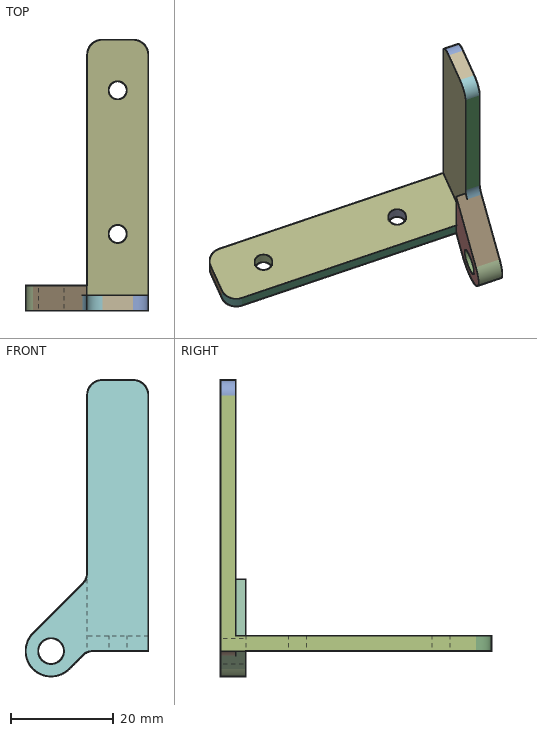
import cadquery as cq
import math

eye_radius = 5.0
pivot_hole_diameter = 5.0
lever_thickness = 5.0

plate_thickness = 3.0
plate_left = 7.0
plate_width = 12.0
plate_length = 53.0
corner_radius = 3.0

screw_hole_diameter = 3.5
screw_hole_positions = (15.0, 43.1)

plate_right = plate_left + plate_width
plate_center = plate_left + plate_width / 2

tangent_offset = eye_radius * math.sin(math.radians(45))
edge_shift = eye_radius * math.sqrt(2)
lever_top = plate_left + edge_shift
lever_foot = edge_shift

margin = 0.6


def extrude_back(profile, depth):
    """Extrude an XZ profile from the front face towards +Y."""
    return profile.close().extrude(-depth)


def eye_start():
    """Start an outline with the round eye, ending at its upper tangent point."""
    return (
        cq.Workplane("XZ")
        .moveTo(tangent_offset, -tangent_offset)
        .threePointArc((-tangent_offset, -tangent_offset), (-tangent_offset, tangent_offset))
    )


def front_plate():
    """Upright plate with the angled lever arm, full outline."""
    outline = (
        eye_start()
        .lineTo(plate_left, lever_top)
        .lineTo(plate_left, plate_length)
        .lineTo(plate_right, plate_length)
        .lineTo(plate_right, 0)
        .lineTo(lever_foot, 0)
    )
    plate = extrude_back(outline, plate_thickness)
    top_corners = cq.selectors.BoxSelector(
        (plate_left - margin, -margin, plate_length - margin),
        (plate_right + margin, plate_thickness + margin, plate_length + margin),
    )
    bends = cq.selectors.BoxSelector(
        (lever_foot - margin, -margin, -margin),
        (plate_left + margin, plate_thickness + margin, lever_top + margin),
    )
    return plate.edges("|Y").edges(top_corners + bends).fillet(corner_radius)


def lever_pad():
    """Thicker part of the lever, ending flush with the plates' left side."""
    outline = (
        eye_start()
        .lineTo(plate_left, lever_top)
        .lineTo(plate_left, plate_left - edge_shift)
    )
    return extrude_back(outline, lever_thickness)


def base_plate():
    """Horizontal plate with rounded rear corners and two screw holes."""
    plate = (
        cq.Workplane("XY")
        .rect(plate_width, plate_length)
        .extrude(plate_thickness)
        .translate((plate_center, plate_length / 2, 0))
        .edges("|Z and >Y")
        .fillet(corner_radius)
    )
    holes = (
        cq.Workplane("XY")
        .pushPoints([(plate_center, y) for y in screw_hole_positions])
        .circle(screw_hole_diameter / 2)
        .extrude(plate_thickness)
    )
    return plate.cut(holes)


pivot_hole = cq.Workplane("XZ").circle(pivot_hole_diameter / 2).extrude(-lever_thickness)

result = front_plate().union(lever_pad()).union(base_plate()).cut(pivot_hole)